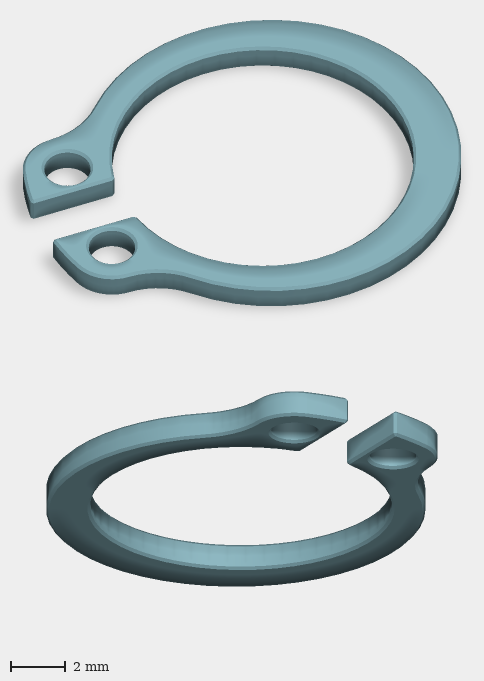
import cadquery as cq
import math

overall_length = 16.0
outer_radius = 13.87 / 2
inner_radius = 5.52
bore_offset = 0.35
thickness = 1.0
edge_chamfer = 0.1
gap_half_width = 2.0 / 2
hole_diameter = 1.7
lug_x = 2.16

lug_round_radius = 1.63
tip_radius = math.hypot(gap_half_width + edge_chamfer, outer_radius - overall_length)
tip_y = -math.sqrt(tip_radius**2 - gap_half_width**2)
lug_y = -math.sqrt((tip_radius - lug_round_radius) ** 2 - lug_x**2)

lug_side_x = lug_x + lug_round_radius
neck_radius = (lug_side_x**2 + lug_y**2 - outer_radius**2) / (2 * (outer_radius - lug_side_x))
neck_x = lug_side_x + neck_radius


def point_toward(start, target, distance):
    """Point at a distance from start along the direction to target."""
    dx = target[0] - start[0]
    dy = target[1] - start[1]
    ratio = distance / math.hypot(dx, dy)
    return (start[0] + dx * ratio, start[1] + dy * ratio)


def mirrored(point):
    return (-point[0], point[1])


def make_ring():
    origin = (0, 0)
    neck_center = (neck_x, lug_y)
    lug_center = (lug_x, lug_y)
    bore_end = (gap_half_width, -bore_offset - math.sqrt(inner_radius**2 - gap_half_width**2))
    tip = (gap_half_width, tip_y)
    tip_end = point_toward(origin, lug_center, tip_radius)
    lug_side = (lug_side_x, lug_y)
    rim_end = point_toward(origin, neck_center, outer_radius)

    tip_mid = point_toward(origin, ((tip[0] + tip_end[0]) / 2, (tip[1] + tip_end[1]) / 2), tip_radius)
    lug_chord_mid = ((tip_end[0] + lug_side[0]) / 2, (tip_end[1] + lug_side[1]) / 2)
    lug_mid = point_toward(lug_center, lug_chord_mid, lug_round_radius)
    neck_chord_mid = ((lug_side[0] + rim_end[0]) / 2, (lug_side[1] + rim_end[1]) / 2)
    neck_mid = point_toward(neck_center, neck_chord_mid, neck_radius)

    return (
        cq.Workplane("XY")
        .moveTo(*bore_end)
        .lineTo(*tip)
        .threePointArc(tip_mid, tip_end)
        .threePointArc(lug_mid, lug_side)
        .threePointArc(neck_mid, rim_end)
        .threePointArc((0, outer_radius), mirrored(rim_end))
        .threePointArc(mirrored(neck_mid), mirrored(lug_side))
        .threePointArc(mirrored(lug_mid), mirrored(tip_end))
        .threePointArc(mirrored(tip_mid), mirrored(tip))
        .lineTo(*mirrored(bore_end))
        .threePointArc((0, inner_radius - bore_offset), bore_end)
        .close()
        .extrude(thickness)
    )


def make_plier_holes():
    hole_centers = [(-lug_x, lug_y), (lug_x, lug_y)]
    return cq.Workplane("XY").pushPoints(hole_centers).circle(hole_diameter / 2).extrude(thickness)


def at_gap_corner(edge):
    return math.isclose(abs(edge.Center().x), gap_half_width, abs_tol=0.002)


ring = make_ring()
gap_corners = [edge for edge in ring.edges("|Z").vals() if at_gap_corner(edge)]
ring = ring.newObject(gap_corners).chamfer(edge_chamfer)

result = ring.cut(make_plier_holes()).faces("<Z or >Z").edges().chamfer(edge_chamfer)